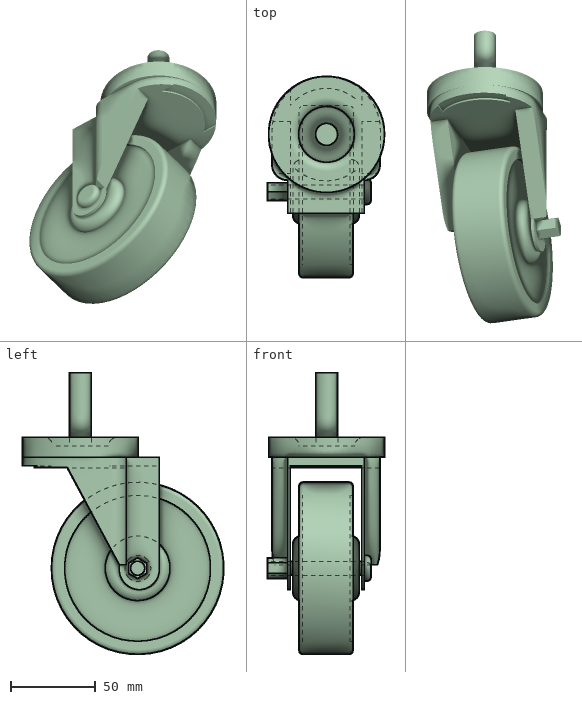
import cadquery as cq
import math

fork_x = -0.3
wheel_radius = 50.8
axle_y = -33.7
axle_z = wheel_radius
axle_radius = 4.2

head_radius = 34.2
head_bottom = 116.3
head_top = 128.0
dish_floor_radius = 16.5
dish_edge_radius = 5.1
stem_radius = 6.5
stem_top = 166.1

leg_half_width = 22.6
leg_thickness = 1.7
slot_half_width = leg_half_width - leg_thickness
leg_front_y = -46.5
leg_back_y = -23.0
leg_end_radius = (leg_back_y - leg_front_y) / 2
leg_bottom = 38.2
slot_top = 111.1
crown_bottom = 110.1
pad_radius = 27.2
body_half_width = 31.9
body_back_center_y = head_radius - body_half_width
shoulder_radius = body_half_width - leg_half_width
shoulder_front_y = -27.0
shoulder_bottom = 52.8
slope_top_y = 7.8

wheel_half_width = 16.0
tread_edge_radius = 2.7
recess_radius = 43.0
recess_depth = 2.0
hub_radius = 19.1
hub_half_width = 19.6
hub_edge_radius = 5.1

bolt_head_radius = 7.6
bolt_head_height = 4.0
bolt_head_edge_radius = 2.7
nut_across_flats = 10.6
nut_length = 12.0


def x_cylinder(radius, x_start, x_end):
    """Cylinder on the axle line between two X positions."""
    plane = cq.Workplane("YZ", origin=(x_start, axle_y, axle_z))
    return plane.circle(radius).extrude(x_end - x_start)


def make_head():
    """Swivel plate with a dished top and a central stem."""
    floor_z = head_top - dish_edge_radius
    dish_rim_radius = dish_floor_radius + dish_edge_radius
    round_mid_radius = dish_rim_radius - dish_edge_radius * math.sqrt(0.5)
    round_mid_z = floor_z + dish_edge_radius * math.sqrt(0.5)
    profile = (
        cq.Workplane("XZ")
        .moveTo(0, head_bottom)
        .lineTo(head_radius, head_bottom)
        .lineTo(head_radius, head_top)
        .lineTo(dish_rim_radius, head_top)
        .threePointArc((round_mid_radius, round_mid_z), (dish_floor_radius, floor_z))
        .lineTo(stem_radius, floor_z)
        .lineTo(stem_radius, stem_top)
        .lineTo(0, stem_top)
        .close()
    )
    return profile.revolve(360, (0, 0), (0, 1))


def make_fork_body():
    """Wide fork body: round back, straight sides and rounded shoulders."""
    shoulder_back_y = shoulder_front_y + shoulder_radius
    arc_offset = shoulder_radius * math.sqrt(0.5)
    shoulder_mid_x = leg_half_width + arc_offset
    shoulder_mid_y = shoulder_back_y - arc_offset
    return (
        cq.Workplane("XY", origin=(fork_x, 0, shoulder_bottom))
        .moveTo(-leg_half_width, shoulder_front_y)
        .lineTo(leg_half_width, shoulder_front_y)
        .threePointArc((shoulder_mid_x, shoulder_mid_y), (body_half_width, shoulder_back_y))
        .lineTo(body_half_width, body_back_center_y)
        .threePointArc((0, head_radius), (-body_half_width, body_back_center_y))
        .lineTo(-body_half_width, shoulder_back_y)
        .threePointArc((-shoulder_mid_x, shoulder_mid_y), (-leg_half_width, shoulder_front_y))
        .close()
        .extrude(head_bottom - shoulder_bottom)
    )


def make_fork_legs():
    """Block as wide as the fork legs, with a round lower end."""
    end_center_y = (leg_front_y + leg_back_y) / 2
    end_center_z = leg_bottom + leg_end_radius
    return (
        cq.Workplane("YZ", origin=(fork_x - leg_half_width, 0, 0))
        .moveTo(leg_front_y, head_bottom)
        .lineTo(leg_front_y, end_center_z)
        .threePointArc((end_center_y, leg_bottom), (leg_back_y, end_center_z))
        .lineTo(leg_back_y, head_bottom)
        .close()
        .extrude(2 * leg_half_width)
    )


def make_back_cut():
    """Space behind the sloping rear edge of the legs and under the crown."""
    beyond_back = 2 * head_radius
    return (
        cq.Workplane("YZ", origin=(fork_x, 0, 0))
        .moveTo(leg_back_y, shoulder_bottom)
        .lineTo(slope_top_y, crown_bottom)
        .lineTo(beyond_back, crown_bottom)
        .lineTo(beyond_back, shoulder_bottom)
        .close()
        .extrude(body_half_width, both=True)
    )


def make_fork():
    """Swivel fork with a crown, a round pad under it and two bored legs."""
    slot_length = 4 * head_radius
    slot = (
        cq.Workplane("XY", origin=(fork_x, 0, 0))
        .rect(2 * slot_half_width, slot_length)
        .extrude(slot_top)
    )
    pad = (
        cq.Workplane("XY", origin=(fork_x, 0, crown_bottom))
        .circle(pad_radius)
        .extrude(head_bottom - crown_bottom)
    )
    fork = make_fork_body().union(make_fork_legs()).cut(make_back_cut()).cut(slot)
    axle_bore = x_cylinder(axle_radius, fork_x - leg_half_width, fork_x + leg_half_width)
    head_x = fork_x + leg_half_width
    head_recess = x_cylinder(bolt_head_radius, head_x, head_x + bolt_head_height)
    return fork.union(pad).cut(axle_bore).cut(head_recess)


def make_wheel():
    """Wheel with rounded tread edges, recessed sides and a rounded hub."""
    wheel = x_cylinder(wheel_radius, fork_x - wheel_half_width, fork_x + wheel_half_width)
    wheel = wheel.edges().fillet(tread_edge_radius)
    web_half_width = wheel_half_width - recess_depth
    for side in (-1, 1):
        web_x = fork_x + side * web_half_width
        face_x = fork_x + side * wheel_half_width
        wheel = wheel.cut(x_cylinder(recess_radius, web_x, face_x))
    hub = x_cylinder(hub_radius, fork_x - hub_half_width, fork_x + hub_half_width)
    hub = hub.edges().fillet(hub_edge_radius)
    bore = x_cylinder(axle_radius, fork_x - hub_half_width, fork_x + hub_half_width)
    return wheel.union(hub).cut(bore)


def make_bolt():
    """Axle bolt: domed head on the +X leg, shank flush with the nut end."""
    head_x = fork_x + leg_half_width
    head = x_cylinder(bolt_head_radius, head_x, head_x + bolt_head_height)
    head = head.faces(">X").edges().fillet(bolt_head_edge_radius)
    shank = x_cylinder(axle_radius, fork_x - leg_half_width - nut_length, head_x)
    return head.union(shank)


def make_nut():
    """Long hexagon nut on the -X leg, with corners up and down."""
    leg_face_x = fork_x - leg_half_width
    across_corners = nut_across_flats / math.cos(math.pi / 6)
    nut = (
        cq.Workplane("YZ", origin=(leg_face_x, axle_y, axle_z))
        .polygon(6, across_corners)
        .extrude(-nut_length)
        .rotate((0, axle_y, axle_z), (1, axle_y, axle_z), 90)
    )
    return nut.cut(x_cylinder(axle_radius, leg_face_x - nut_length, leg_face_x))


head = make_head()
fork = make_fork()
wheel = make_wheel()
bolt = make_bolt()
nut = make_nut()

result = cq.Compound.makeCompound([head.val(), fork.val(), wheel.val(), bolt.val(), nut.val()])